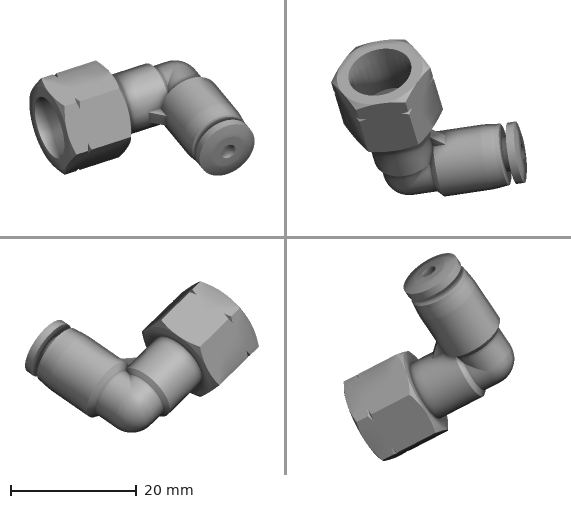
import cadquery as cq
import math


hex_flats = 14.0
hex_corners = hex_flats / math.cos(math.radians(30))
nut_start = 11.45
nut_end = 22.5
nut_length = nut_end - nut_start
chamfer_angle = 30
groove_distance = 19.48
groove_depth = 0.53
groove_half_width = 0.33
cutter_margin = 1.4

socket_mouth_radius = 5.13
socket_depth = 8.88
socket_floor_radius = socket_mouth_radius - socket_depth / 32
passage_radius = 1.28

elbow_radius = 4.25
stem_radius = 5
stem_taper_start = 2.75
stem_taper_end = stem_taper_start + stem_radius - elbow_radius

body_radius = 5.25
body_cone_start = 4.0
body_cone_end = body_cone_start + body_radius - elbow_radius
body_straight_end = 12.82
body_nose_start = 14.85
body_nose_radius = 5.02
body_rim_end = 15.55
body_rim_radius = 4.97
body_end = 15.65
body_end_radius = 4.72
neck_radius = 2.8
collar_start = 16.75
collar_radius = 4.95
collar_rim_end = 18.07
port_end = 18.48
collar_face_radius = 2.83
collar_bulge = (18.35, 3.95)

web_thickness = 2.0
web_leg_sum = 12.2
web_inset = 2.78


def make_nut():
    """Hexagonal prism chamfered at both ends, with a V groove across its corners."""
    corner_radius = hex_corners / 2
    flat_radius = hex_flats / 2
    chamfer_length = (corner_radius - flat_radius) * math.tan(math.radians(chamfer_angle))
    prism = (
        cq.Workplane("XZ", origin=(0, -nut_start, 0))
        .polygon(6, hex_corners)
        .extrude(nut_length)
    )
    envelope = (
        cq.Workplane("XY")
        .polyline([
            (0, -nut_start),
            (flat_radius, -nut_start),
            (corner_radius, -nut_start - chamfer_length),
            (corner_radius, -nut_end + chamfer_length),
            (flat_radius, -nut_end),
            (0, -nut_end),
        ])
        .close()
        .revolve(360, (0, 0, 0), (0, 1, 0))
    )
    outer_half_width = groove_half_width * (groove_depth + cutter_margin) / groove_depth
    groove = (
        cq.Workplane("XY")
        .polyline([
            (corner_radius - groove_depth, -groove_distance),
            (corner_radius + cutter_margin, -groove_distance - outer_half_width),
            (corner_radius + cutter_margin, -groove_distance + outer_half_width),
        ])
        .close()
        .revolve(360, (0, 0, 0), (0, 1, 0))
    )
    return prism.intersect(envelope).cut(groove)


def make_stem():
    """Round stem from the elbow centre to the nut, stepped up by a cone."""
    return (
        cq.Workplane("XY")
        .polyline([
            (0, 0),
            (elbow_radius, 0),
            (elbow_radius, -stem_taper_start),
            (stem_radius, -stem_taper_end),
            (stem_radius, -nut_start),
            (0, -nut_start),
        ])
        .close()
        .revolve(360, (0, 0, 0), (0, 1, 0))
    )


def make_port():
    """Tube port with a tapered nose, a neck and a release collar."""
    return (
        cq.Workplane("XY")
        .moveTo(0, 0)
        .lineTo(0, elbow_radius)
        .lineTo(body_cone_start, elbow_radius)
        .lineTo(body_cone_end, body_radius)
        .lineTo(body_straight_end, body_radius)
        .tangentArcPoint((body_nose_start, body_nose_radius), relative=False)
        .lineTo(body_rim_end, body_rim_radius)
        .lineTo(body_end, body_end_radius)
        .lineTo(body_end, neck_radius)
        .lineTo(collar_start, neck_radius)
        .lineTo(collar_start, collar_radius)
        .lineTo(collar_rim_end, collar_radius)
        .threePointArc(collar_bulge, (port_end, collar_face_radius))
        .lineTo(port_end, 0)
        .close()
        .revolve(360, (0, 0, 0), (1, 0, 0))
    )


def make_web():
    """Flat gusset whose sloping edge bridges the stem and the port."""
    far = web_leg_sum - web_inset
    return (
        cq.Workplane("XY")
        .polyline([(web_inset, -web_inset), (far, -web_inset), (web_inset, -far)])
        .close()
        .extrude(web_thickness / 2, both=True)
    )


def make_socket():
    """Tapered bore entering from the open face of the nut."""
    socket_floor = nut_end - socket_depth
    return (
        cq.Workplane("XY")
        .polyline([
            (0, -nut_end),
            (socket_mouth_radius, -nut_end),
            (socket_floor_radius, -socket_floor),
            (0, -socket_floor),
        ])
        .close()
        .revolve(360, (0, 0, 0), (0, 1, 0))
    )


def make_passage():
    """Round flow passage turning the corner through a ball of the same radius."""
    nut_leg = cq.Workplane("XZ").circle(passage_radius).extrude(nut_end)
    port_leg = cq.Workplane("YZ").circle(passage_radius).extrude(port_end)
    ball = cq.Workplane("XY").sphere(passage_radius)
    return nut_leg.union(port_leg).union(ball)


elbow_ball = cq.Workplane("XY").sphere(elbow_radius)
outside = elbow_ball.union(make_stem()).union(make_port()).union(make_web()).union(make_nut())
result = outside.cut(make_socket()).cut(make_passage())